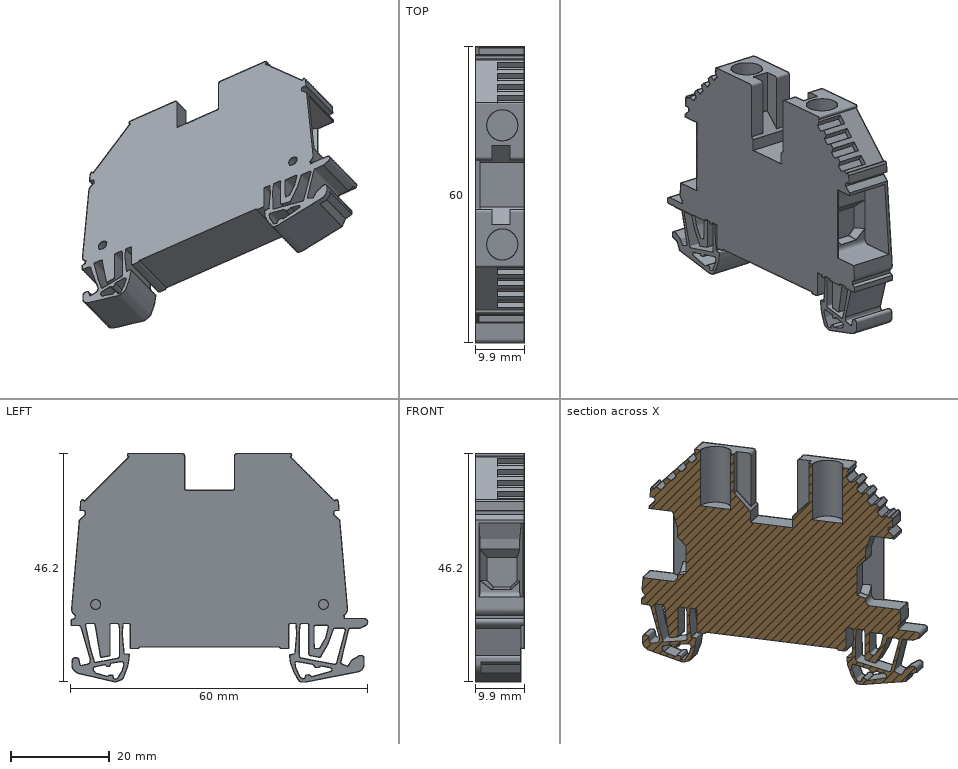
import cadquery as cq
import math


width = 9.9
height = 46.25
foot_width = 9.2
foot_top = 11.45
half_length = 28.0
rail_tip_y = -32.0
overcut = 1.0

notch_half = 5.0
notch_floor = 38.85
notch_top_radius = 0.6
notch_bottom_radius = 0.3
pocket_half = 4.5
pocket_floor = 32.0
pocket_wall = 0.9
pocket_bevel_top = 34.85

shaft_x = 5.42
shaft_y = 12.05
shaft_radius = 3.15
shaft_depth = 12.0
slot_x_min = 3.36
slot_x_max = 6.97
slot_half = 8.0

groove_x = 4.45
groove_count = 4
groove_pitch_z = 2.22
groove_span_z = 1.45
groove_first_z = 45.25
groove_depth = 1.1
groove_draft = 18
shoulder_y = 16.37
shoulder_z = 45.55
shoulder_end_y = 25.3
shoulder_end_z = shoulder_z - (shoulder_end_y - shoulder_y)

entry_wall = 0.72
entry_floor = 17.25
entry_top = 32.2
entry_far_wall_x = 9.65
entry_wall_end_y = 22.6
entry_back_y = 21.35
throat_y = 20.3
throat_x_min = 0.9
throat_x_max = 8.95
throat_floor = 18.35
throat_top = 28.85
funnel_end_y = 18.5

dowel_y = 23.04
dowel_z = 15.7
dowel_radius = 1.0
dowel_depth = 2.0
base_z = 7.09
pad_z = 6.75
pad_outer_y = 16.06
pad_inner_y = 14.4
foot_root_z = 11.83


def rounded_outline(corners):
    """Closed YZ wire through (y, z) or (y, z, corner radius) points."""
    ends = []
    count = len(corners)
    for i in range(count):
        y, z = corners[i][:2]
        radius = corners[i][2] if len(corners[i]) == 3 else 0
        if radius == 0:
            ends.append([(y, z)])
            continue
        before = corners[i - 1]
        after = corners[(i + 1) % count]
        u = cq.Vector(before[0] - y, before[1] - z).normalized()
        v = cq.Vector(after[0] - y, after[1] - z).normalized()
        half_angle = u.getAngle(v) / 2
        corner = cq.Vector(y, z)
        start = corner + u * (radius / math.tan(half_angle))
        end = corner + v * (radius / math.tan(half_angle))
        bisector = (u + v).normalized()
        middle = corner + bisector * (radius / math.sin(half_angle) - radius)
        ends.append([(p.x, p.y) for p in (start, middle, end)])
    path = cq.Workplane("YZ").moveTo(*ends[0][-1])
    for points in ends[1:]:
        path = path.lineTo(*points[0])
        if len(points) == 3:
            path = path.threePointArc(points[1], points[2])
    if len(ends[0]) == 3:
        path = path.lineTo(*ends[0][0]).threePointArc(ends[0][1], ends[0][2])
    return path.close()


def prism(corners, x_min=0.0, x_max=width):
    """Solid with a YZ outline between two X positions."""
    return rounded_outline(corners).extrude(x_max - x_min).translate((x_min, 0, 0))


def block(x_min, x_max, y_min, y_max, z_min, z_max):
    """Axis-aligned box between two corners."""
    box = cq.Workplane("XY").box(x_max - x_min, y_max - y_min, z_max - z_min, centered=False)
    return box.translate((x_min, y_min, z_min))


def frustum(first, first_y, second, second_y):
    """Loft between two (x, z) polygons lying at two Y positions."""
    wires = []
    for polygon, y in ((first, first_y), (second, second_y)):
        wires.append(cq.Wire.makePolygon([cq.Vector(x, y, z) for x, z in polygon], close=True))
    return cq.Workplane(cq.Solid.makeLoft(wires, True))


def both_sides(tool):
    """A tool on the +Y side together with its mirror image."""
    return tool.union(tool.mirror("XZ"))


def housing():
    """Housing body, mirrored about Y = 0, without the feet."""
    half = [
        (notch_half, notch_floor, notch_bottom_radius),
        (notch_half, height, notch_top_radius),
        (17.2, height, 0.33),
        (shoulder_y, shoulder_z),
        (shoulder_end_y, shoulder_end_z),
        (25.7, 37.05, 0.15),
        (26.1, 36.5),
        (26.2, 34.7),
        (25.15, 34.7, 0.4),
        (25.15, 33.85),
        (26.35, 32.75),
        (half_length, 13.9, 1.4),
        (27.25, 13.55),
        (27.25, foot_root_z),
        (pad_outer_y, foot_root_z, 0.2),
        (pad_outer_y, pad_z, 0.3),
        (pad_inner_y, pad_z, 0.2),
        (pad_inner_y - 0.3, base_z),
    ]
    other_half = [(-corner[0],) + corner[1:] for corner in reversed(half)]
    return prism(half + other_half)


def left_foot():
    """Fixed rail foot on the +Y side."""
    outline = [
        (27.25, 12.9),
        (half_length, 12.6),
        (half_length, 11.45, 0.2),
        (26.1, 11.4, 0.5),
        (24.15, 4.6),
        (24.3, 3.75, 0.3),
        (26.15, 3.3, 0.3),
        (26.5, 4.95, 0.5),
        (27.8, 4.95, 0.6),
        (27.85, 2.6, 1.5),
        (26.6, 1.75, 0.8),
        (19.0, 0.0, 1.2),
        (17.5, 0.6, 1.0),
        (16.5, 3.3, 2.5),
        (16.15, 5.7, 0.2),
        (17.25, 5.7),
        (17.65, 9.9),
        (17.45, foot_root_z),
        (17.45, 12.9),
    ]
    slots = [
        (25.15, foot_root_z, 0.3),
        (23.2, foot_root_z, 0.3),
        (22.05, 4.95, 0.2),
        (20.1, 5.3, 0.3),
        (20.1, foot_root_z, 0.2),
        (18.4, foot_root_z, 0.3),
        (18.25, 10.9),
        (18.25, 4.9, 0.4),
        (23.25, 3.95, 0.3),
        (24.1, 6.9),
    ]
    window = [
        (23.85, 2.95, 0.5),
        (21.15, 3.5),
        (20.65, 3.1, 0.3),
        (20.15, 3.2, 0.2),
        (19.95, 3.8),
        (17.15, 4.25, 0.5),
        (17.7, 2.3),
        (18.75, 0.55, 0.5),
        (19.4, 0.7),
        (19.6, 1.45, 0.3),
        (20.35, 1.4, 0.2),
        (20.65, 1.15),
        (23.1, 1.85),
    ]
    return prism(outline).cut(prism(slots)).cut(prism(window))


def right_foot():
    """Sprung rail foot on the -Y side."""
    outline = [
        (-17.45, 12.9),
        (-17.45, foot_root_z),
        (-17.6, 9.9),
        (-17.25, 5.75),
        (-16.15, 5.5, 0.2),
        (-16.35, 3.9),
        (-17.1, 1.9, 2.5),
        (-18.2, 0.0, 0.8),
        (-19.5, 0.0, 1.0),
        (-31.28, 2.3, 1.6),
        (-31.28, 6.0, 0.72),
        (-28.7, 4.4, 0.6),
        (-27.95, 3.2, 0.1),
        (-26.5, 3.8, 0.3),
        (-28.2, 10.88, 0.3),
        (-30.4, 10.88),
        (rail_tip_y, 11.6, 0.78),
        (rail_tip_y, 12.87, 0.75),
        (-27.25, 12.87),
    ]
    slots = [
        (-18.35, foot_root_z, 0.3),
        (-20.05, foot_root_z, 0.3),
        (-20.05, 5.4, 0.4),
        (-22.4, 4.95, 0.3),
        (-24.05, 7.9),
        (-25.1, 10.88, 0.4),
        (-27.55, 10.88, 0.4),
        (-25.6, 3.55, 0.3),
        (-18.2, 4.95, 0.4),
        (-18.15, 9.9),
    ]
    inner_window = [
        (-21.15, 11.45, 0.3),
        (-24.1, 11.45, 0.3),
        (-23.5, 9.0),
        (-22.25, 6.8, 0.2),
        (-21.25, 6.8, 0.1),
        (-21.15, 7.9),
    ]
    window = [
        (-17.2, 4.25, 0.4),
        (-20.95, 3.55),
        (-21.4, 2.95, 0.2),
        (-22.1, 2.95, 0.2),
        (-22.5, 3.25),
        (-25.0, 2.8, 0.4),
        (-24.6, 2.2, 0.3),
        (-20.7, 1.1),
        (-20.15, 1.5, 0.3),
        (-19.5, 1.45, 0.3),
        (-19.1, 0.55, 0.3),
        (-18.3, 1.0, 0.3),
        (-17.45, 2.9),
    ]
    relief_x = 1.1
    relief = [
        (-28.9, 1.82),
        (-29.75, 3.55),
        (-31.2, 4.05),
        (rail_tip_y, 4.3),
        (rail_tip_y, 1.0),
    ]
    foot = prism(outline).cut(prism(slots)).cut(prism(inner_window)).cut(prism(window))
    return foot.cut(prism(relief, relief_x, width))


def foot_step():
    """Material taken off the far face of the feet."""
    return both_sides(block(foot_width, width, pad_outer_y, -rail_tip_y, 0, foot_top))


def notch_pocket():
    """Pocket below the notch and the sloped slots leading into it."""
    bevel_foot = pocket_bevel_top - (notch_half - pocket_half)
    trough = [
        (-pocket_half, pocket_floor),
        (-pocket_half, bevel_foot),
        (-notch_half, pocket_bevel_top),
        (-notch_half, notch_floor + notch_bottom_radius),
        (notch_half, notch_floor + notch_bottom_radius),
        (notch_half, pocket_bevel_top),
        (pocket_half, bevel_foot),
        (pocket_half, pocket_floor),
    ]
    slot = [
        (0, pocket_bevel_top),
        (notch_half, pocket_bevel_top),
        (slot_half, pocket_bevel_top + slot_half - notch_half),
        (slot_half, height + overcut),
        (0, height + overcut),
    ]
    return prism(trough, pocket_wall, width).union(both_sides(prism(slot, slot_x_min, slot_x_max)))


def screw_shafts():
    """Round blind holes from the top."""
    shaft = cq.Workplane("XY", origin=(shaft_x, shaft_y, height - shaft_depth))
    return both_sides(shaft.circle(shaft_radius).extrude(shaft_depth))


def shoulder_grooves():
    """Grip grooves with slanted walls across the 45 degree shoulders."""
    mouth_length = groove_span_z * math.sqrt(2)
    inset = groove_depth * math.tan(math.radians(groove_draft))
    profile = [
        (0, 0),
        (inset, -groove_depth),
        (mouth_length - inset, -groove_depth),
        (mouth_length, 0),
        (mouth_length, overcut),
        (0, overcut),
    ]
    tools = cq.Workplane("XY")
    for i in range(groove_count):
        z = groove_first_z - i * groove_pitch_z
        y = shoulder_y + shoulder_z - z
        groove = prism(profile, groove_x, width).rotate((0, 0, 0), (1, 0, 0), -45)
        tools = tools.union(groove.translate((0, y, z)))
    return both_sides(tools)


def wire_entries():
    """Open recess and blind funnel at each end."""
    outer_y = half_length + overcut
    plan = [
        (entry_wall, outer_y),
        (width + overcut, outer_y),
        (width + overcut, entry_wall_end_y),
        (entry_far_wall_x, entry_wall_end_y),
        (throat_x_max, throat_y),
        (throat_x_min, throat_y),
        (entry_wall, entry_back_y),
    ]
    profile = [
        (outer_y, entry_floor),
        (throat_y, entry_floor, entry_back_y - throat_y),
        (throat_y, throat_floor),
        (throat_y, throat_top),
        (entry_back_y, entry_top),
        (outer_y, entry_top),
    ]
    recess = cq.Workplane("XY").polyline(plan).close().extrude(height)
    recess = recess.intersect(prism(profile, 0, width + overcut))
    funnel = [(3.25, 18.7), (7.15, 18.7), (throat_x_max, 20.4),
              (throat_x_max, 26.9), (throat_x_min, 26.9), (throat_x_min, 20.6)]
    funnel_end = [(3.7, 19.2), (7.1, 19.2), (8.45, 20.5),
                  (8.45, 25.2), (2.37, 25.2), (2.37, 20.5)]
    return both_sides(recess.union(frustum(funnel, throat_y, funnel_end, funnel_end_y)))


def dowel_holes():
    """Blind alignment holes in the near face."""
    hole = cq.Workplane("YZ").center(dowel_y, dowel_z).circle(dowel_radius).extrude(dowel_depth)
    return both_sides(hole)


result = housing().union(left_foot()).union(right_foot()).cut(foot_step())
result = result.cut(notch_pocket()).cut(screw_shafts()).cut(shoulder_grooves())
result = result.cut(wire_entries()).cut(dowel_holes())